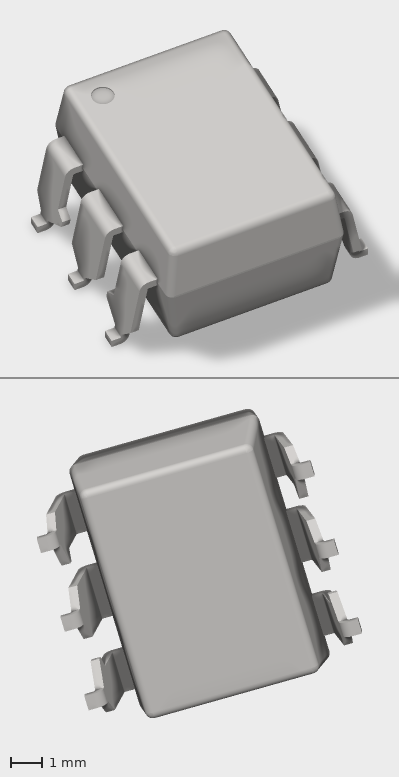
import cadquery as cq
import math

body_length = 8.51
land_depth = 0.005
body_width = 6.36
body_bottom = 0.42
body_top = 4.8
parting_height = 2.91
draft_angle = 7.0
body_radius = 0.25

mark_diameter = 0.75
mark_depth = 0.055
mark_x = -3.06
mark_y = -1.97

lead_span = 9.17
lead_thickness = 0.29
lead_top = 3.05
leg_angle = 10.0
leg_reach_at_floor = 4.3
inner_bend_radius = 0.05
lead_embed = 0.275
lead_pitch = 2.73
foot_width = 0.49
taper_top = 0.92
taper_bottom = 0.42
middle_blade_width = 1.78
end_blade_outer = 3.44
end_blade_inner = 2.05
tab_inner = 1.66
tab_top = 1.33
tab_tip_top = 1.13


def make_body_half(height, direction):
    """One half of the body, narrowing away from the parting plane; direction is +1 up or -1 down."""
    plane = cq.Plane(origin=(0, 0, parting_height), xDir=(1, 0, 0), normal=(0, 0, direction))
    sharp_length = body_length + 2 * land_depth
    half = cq.Workplane(plane).rect(sharp_length, body_width).extrude(height, taper=draft_angle)
    half = half.edges("not(#Z)").fillet(body_radius)
    end_face = ">Z" if direction > 0 else "<Z"
    return half.faces(end_face).edges().fillet(body_radius)


def make_body():
    upper = make_body_half(body_top - parting_height, 1)
    lower = make_body_half(parting_height - body_bottom, -1)
    between_lands = cq.Workplane("XY").box(body_length, lead_span, 2 * body_top)
    return upper.union(lower).intersect(between_lands)


def make_mark():
    plane = cq.Workplane("XY", origin=(mark_x, mark_y, body_top))
    return plane.circle(mark_diameter / 2).extrude(-mark_depth)


def make_bent_strip():
    """Side profile of a +Y lead, extruded across the whole row of leads."""
    lean = math.radians(leg_angle)
    outer_bend_radius = inner_bend_radius + lead_thickness
    tangent_ratio = math.tan((math.pi / 2 - lean) / 2)
    outer_setback = outer_bend_radius * tangent_ratio
    inner_setback = inner_bend_radius * tangent_ratio
    leg_inner_reach = leg_reach_at_floor - lead_thickness / math.cos(lean)

    def on_leg(reach_at_floor, height, along=0.0):
        """Point on a leg face at a height, then moved along the face, up positive."""
        reach = reach_at_floor - height * math.tan(lean)
        return (reach - along * math.sin(lean), height + along * math.cos(lean))

    lead_underside = lead_top - lead_thickness
    shoulder_start = body_width / 2 - lead_embed
    foot_tip = lead_span / 2
    top_corner = on_leg(leg_reach_at_floor, lead_top)[0]
    underside_corner = on_leg(leg_inner_reach, lead_underside)[0]
    foot_top_corner = on_leg(leg_reach_at_floor, lead_thickness)[0]
    profile = (
        cq.Workplane("YZ", origin=(-end_blade_outer, 0, 0))
        .moveTo(shoulder_start, lead_top)
        .lineTo(top_corner - outer_setback, lead_top)
        .tangentArcPoint(on_leg(leg_reach_at_floor, lead_top, -outer_setback), relative=False)
        .lineTo(*on_leg(leg_reach_at_floor, lead_thickness, inner_setback))
        .tangentArcPoint((foot_top_corner + inner_setback, lead_thickness), relative=False)
        .lineTo(foot_tip, lead_thickness)
        .lineTo(foot_tip, 0)
        .lineTo(leg_inner_reach + outer_setback, 0)
        .tangentArcPoint(on_leg(leg_inner_reach, 0, outer_setback), relative=False)
        .lineTo(*on_leg(leg_inner_reach, lead_underside, -inner_setback))
        .tangentArcPoint((underside_corner - inner_setback, lead_underside), relative=False)
        .lineTo(shoulder_start, lead_underside)
        .close()
    )
    return profile.extrude(2 * end_blade_outer)


def extrude_blade(points):
    """Extrude a blade outline, given as (X, Z) points, far enough to cover a +Y lead."""
    return cq.Workplane("XZ").polyline(points).close().extrude(-lead_span / 2)


def make_lead_row():
    """The three leads on the +Y side."""
    half_foot = foot_width / 2
    half_blade = middle_blade_width / 2
    middle_blade = extrude_blade([
        (-half_blade, lead_top),
        (-half_blade, taper_top),
        (-half_foot, taper_bottom),
        (-half_foot, 0),
        (half_foot, 0),
        (half_foot, taper_bottom),
        (half_blade, taper_top),
        (half_blade, lead_top),
    ])
    left_blade = extrude_blade([
        (-end_blade_outer, lead_top),
        (-end_blade_outer, taper_top),
        (-lead_pitch - half_foot, taper_bottom),
        (-lead_pitch - half_foot, 0),
        (-lead_pitch + half_foot, 0),
        (-lead_pitch + half_foot, taper_bottom),
        (-tab_inner, taper_top),
        (-tab_inner, tab_tip_top),
        (-end_blade_inner, tab_top),
        (-end_blade_inner, lead_top),
    ])
    blades = middle_blade.union(left_blade).union(left_blade.mirror("YZ"))
    return make_bent_strip().intersect(blades)


lead_row = make_lead_row()
result = make_body().cut(make_mark()).union(lead_row).union(lead_row.mirror("XZ"))